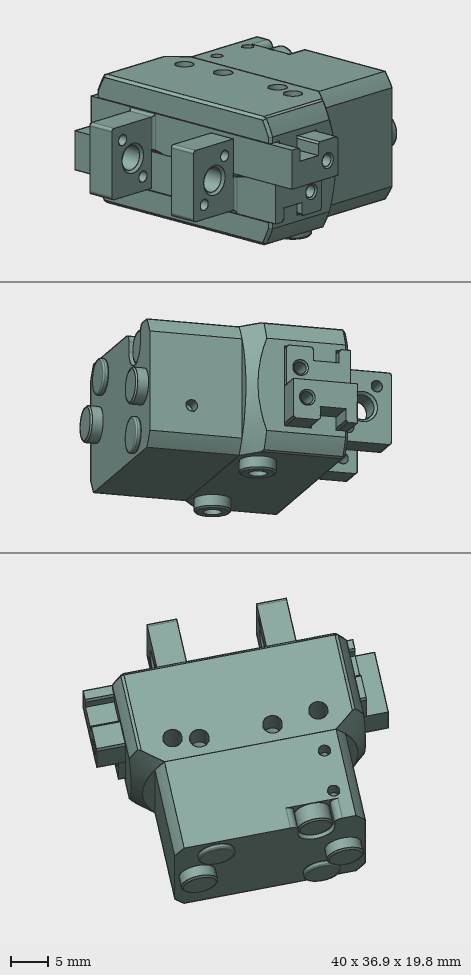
import cadquery as cq
import math


front_half_width = 16.1
front_half_height = 9.0
rear_half_width = 13.1
rear_half_height = 8.95
step_y = 14.05
rear_y = 27.05
front_turned_radius = 17.3
rear_turned_radius = 14.8
front_chamfer = 0.4
top_bevel_width = 1.6
top_bevel_drop = 0.7

slide_short_end = 17.0
slide_long_end = 20.0
slide_depth = 9.0
slide_height = 5.5
notch_front_y = 1.6
notch_back_y = 5.2
notch_floor_z = 3.6
slide_chamfer = 0.3
guide_clearance = 0.1
rib_clearance = 0.1
end_hole_y = 7.05
end_hole_z = 2.5
end_hole_diameter = 1.7
end_hole_rim = 2.2
end_hole_depth = 4.0

finger_inner_x = 5.5
finger_width = 4.1
finger_half_height = 5.0
finger_tip_y = -8.15
finger_gap = 0.35
finger_tip_radius = 0.4
relief_radius = 14.8
relief_height = 0.5
relief_depth = 0.4
grip_hole_y = -4.1
grip_hole_diameter = 3.45
grip_hole_rim = 4.2
dowel_hole_diameter = 1.55
dowel_offset_y = 2.0
dowel_offset_z = 3.0

sleeve_spacing = 20.0
sleeve_diameter = 5.0
sleeve_height = 1.75
sleeve_chamfer = 0.25
bottom_sleeve_y = 10.85
mount_hole_diameter = 2.55

button_places = [(-7.0, -6.0), (7.45, 6.0)]
button_height = 0.8
button_radius = 0.25
plug_x = -6.35
plug_z = 6.5
plug_diameter = 4.8
plug_length = 2.55
recess_width = 5.05
recess_depth = 3.0
recess_lip_radius = 1.05

drill_tip_angle = 118.0
top_hole_places = [(-3.55, 11.6), (6.5, 11.6)]
top_hole_diameter = 2.6
top_hole_depth = 4.0
screw_hole_diameter = 1.6
screw_hole_depth = 2.4
screw_hole_x = -9.6
screw_hole_y_places = [16.8, 22.85]
side_hole_y = 21.1
side_hole_z = -2.95


def block(x_range, y_range, z_range):
    """Box between two limits along each axis."""
    sizes = [high - low for low, high in (x_range, y_range, z_range)]
    return cq.Workplane("XY").box(*sizes, centered=False).translate((x_range[0], y_range[0], z_range[0]))


def rod(start, direction, diameter, length):
    """Round bar that leaves the start point in the given direction."""
    return cq.Workplane(cq.Plane(start, normal=direction)).circle(diameter / 2).extrude(length)


def drill(start, direction, diameter, depth):
    """Blind hole with a conical bottom."""
    radius = diameter / 2
    tip = radius / math.tan(math.radians(drill_tip_angle / 2))
    outline = [(0, 0), (radius, 0), (radius, depth), (0, depth + tip)]
    side = (0, 0, 1) if direction[2] == 0 else (1, 0, 0)
    across = cq.Vector(*side)
    plane = cq.Plane(start, xDir=side, normal=across.cross(cq.Vector(*direction)))
    return cq.Workplane(plane).polyline(outline).close().revolve(360, (0, 0), (0, 1))


def countersink(start, direction, rim_diameter, hole_diameter):
    """45 degree cone that opens a hole at its rim."""
    rim_radius = rim_diameter / 2
    hole_radius = hole_diameter / 2
    cone = cq.Solid.makeCone(
        rim_radius, hole_radius, rim_radius - hole_radius, cq.Vector(*start), cq.Vector(*direction)
    )
    return cq.Workplane(cone)


def housing_envelope():
    """Wide front block and narrower rear block, with their corners turned about Y."""
    bevel_x = front_half_width - top_bevel_width
    bevel_z = front_half_height - top_bevel_drop
    front_outline = [
        (front_half_width, -bevel_z),
        (front_half_width, bevel_z),
        (bevel_x, front_half_height),
        (-bevel_x, front_half_height),
        (-front_half_width, bevel_z),
        (-front_half_width, -bevel_z),
        (-bevel_x, -front_half_height),
        (bevel_x, -front_half_height),
    ]
    front = cq.Workplane("XZ").polyline(front_outline).close().extrude(-step_y)
    rear = block(
        (-rear_half_width, rear_half_width), (0, rear_y), (-rear_half_height, rear_half_height)
    )
    cone_length = front_turned_radius - rear_turned_radius
    turned_outline = [
        (0, 0),
        (front_turned_radius, 0),
        (front_turned_radius, step_y - cone_length),
        (rear_turned_radius, step_y),
        (rear_turned_radius, rear_y),
        (0, rear_y),
    ]
    turned = cq.Workplane("XY").polyline(turned_outline).close().revolve(360, (0, 0), (0, 1))
    envelope = front.union(rear).intersect(turned)
    return envelope.faces("<Y").edges().chamfer(front_chamfer)


def slide_channel():
    """Through channel for both slides; a guide rib stands in the notch of each slide."""
    whole_width = (-slide_long_end, slide_long_end)
    channel_height = slide_height + guide_clearance
    channel = block(whole_width, (0, slide_depth), (-channel_height, channel_height))
    rib_y = (notch_front_y + rib_clearance, notch_back_y)
    rib_z = (notch_floor_z + rib_clearance, channel_height)
    upper_rib = block(whole_width, rib_y, rib_z)
    lower_rib = upper_rib.mirror("XY")
    return channel.cut(upper_rib).cut(lower_rib)


def sleeve(start, direction):
    """Centring sleeve with a chamfered end."""
    bar = rod(start, direction, sleeve_diameter, sleeve_height)
    end = cq.Vector(*start) + cq.Vector(*direction) * sleeve_height
    return bar.edges(cq.selectors.NearestToPointSelector(end.toTuple())).chamfer(sleeve_chamfer)


def plug_recess():
    """Open-topped recess in the rear face, with a rounded lip on both long sides."""
    front_y = rear_y - recess_depth
    half_width = recess_width / 2
    lip_half_width = half_width + recess_lip_radius
    lip_z = rear_half_height - recess_lip_radius
    lip_bend = recess_lip_radius * (1 - math.sqrt(0.5))
    return (
        cq.Workplane("XZ", origin=(plug_x, front_y, 0))
        .moveTo(-half_width, plug_z)
        .lineTo(-half_width, lip_z)
        .threePointArc(
            (-half_width - lip_bend, rear_half_height - lip_bend), (-lip_half_width, rear_half_height)
        )
        .lineTo(lip_half_width, rear_half_height)
        .threePointArc(
            (half_width + lip_bend, rear_half_height - lip_bend), (half_width, lip_z)
        )
        .lineTo(half_width, plug_z)
        .threePointArc((0, plug_z - half_width), (-half_width, plug_z))
        .close()
        .extrude(-recess_depth)
    )


def make_housing():
    housing = housing_envelope().cut(slide_channel())

    plug = rod((plug_x, rear_y - recess_depth, plug_z), (0, 1, 0), plug_diameter, plug_length)
    housing = housing.cut(plug_recess()).union(plug.faces(">Y").chamfer(sleeve_chamfer))

    for x, z in button_places:
        button = rod((x, rear_y, z), (0, 1, 0), sleeve_diameter, button_height)
        housing = housing.union(button.faces("|Y").edges().fillet(button_radius))

    for x in (-sleeve_spacing / 2, sleeve_spacing / 2):
        housing = housing.union(sleeve((x, rear_y, 0), (0, 1, 0)))
        housing = housing.union(sleeve((x, bottom_sleeve_y, -front_half_height), (0, 0, -1)))
        through = 2 * front_half_height + sleeve_height
        housing = housing.cut(
            rod((x, bottom_sleeve_y, front_half_height), (0, 0, -1), mount_hole_diameter, through)
        )

    for x, y in top_hole_places:
        housing = housing.cut(
            drill((x, y, front_half_height), (0, 0, -1), top_hole_diameter, top_hole_depth)
        )
    for y in screw_hole_y_places:
        housing = housing.cut(
            drill((screw_hole_x, y, rear_half_height), (0, 0, -1), screw_hole_diameter, screw_hole_depth)
        )
    return housing.cut(
        drill((-rear_half_width, side_hole_y, side_hole_z), (1, 0, 0), screw_hole_diameter, screw_hole_depth)
    )


def jaw_slide():
    """Upper slide, notched along its top for the guide rib."""
    c = slide_chamfer
    outline = [
        (0, 0),
        (0, slide_height),
        (notch_front_y - c, slide_height),
        (notch_front_y, slide_height - c),
        (notch_front_y, notch_floor_z),
        (notch_back_y, notch_floor_z),
        (notch_back_y, slide_height - c),
        (notch_back_y + c, slide_height),
        (slide_depth - c, slide_height),
        (slide_depth, slide_height - c),
        (slide_depth, 0),
    ]
    length = slide_short_end + slide_long_end
    slide = cq.Workplane("YZ", origin=(-slide_short_end, 0, 0)).polyline(outline).close().extrude(length)
    for x, inward in ((-slide_short_end, 1), (slide_long_end, -1)):
        start = (x, end_hole_y, end_hole_z)
        slide = slide.cut(drill(start, (inward, 0, 0), end_hole_diameter, end_hole_depth))
        slide = slide.cut(countersink(start, (inward, 0, 0), end_hole_rim, end_hole_diameter))
    return slide


def jaw_finger():
    """Finger plate with its cross hole, countersunk on both sides, and two dowel holes."""
    x_range = (-finger_inner_x - finger_width, -finger_inner_x)
    finger = block(x_range, (finger_tip_y, -finger_gap), (-finger_half_height, finger_half_height))
    finger = finger.faces("<Y").edges("|X").fillet(finger_tip_radius)
    finger = finger.cut(rod((x_range[0], grip_hole_y, 0), (1, 0, 0), grip_hole_diameter, finger_width))
    for x, inward in ((x_range[0], 1), (x_range[1], -1)):
        rim = countersink((x, grip_hole_y, 0), (inward, 0, 0), grip_hole_rim, grip_hole_diameter)
        finger = finger.cut(rim)
    for side in (-1, 1):
        start = (x_range[0], grip_hole_y - side * dowel_offset_y, side * dowel_offset_z)
        finger = finger.cut(rod(start, (1, 0, 0), dowel_hole_diameter, finger_width))
    return finger


def finger_neck():
    """Short neck that flares into the slide, wider by a quarter-round on three sides."""
    half_width = finger_width / 2
    flare = finger_gap
    neck_x = -finger_inner_x - half_width
    root = block(
        (neck_x - half_width - flare, neck_x + half_width + flare),
        (-flare, 0),
        (0, finger_half_height + flare),
    )
    for side in (-1, 1):
        x = neck_x + side * (half_width + flare)
        root = root.cut(rod((x, -flare, 0), (0, 0, 1), 2 * flare, finger_half_height + 2 * flare))
    top_start = (neck_x - half_width - flare, -flare, finger_half_height + flare)
    return root.cut(rod(top_start, (1, 0, 0), 2 * flare, finger_width + 2 * flare))


def make_jaw(turn):
    """Upper jaw, turned about Y; half a turn gives the lower jaw."""
    relief_x = -finger_inner_x - finger_width / 2
    relief = rod(
        (relief_x, -finger_gap, relief_height - relief_radius),
        (0, 1, 0),
        2 * relief_radius,
        finger_gap + relief_depth,
    )
    jaw = jaw_slide().union(finger_neck()).cut(relief).union(jaw_finger())
    return jaw.rotate((0, 0, 0), (0, 1, 0), turn)


housing = make_housing()
jaws = [make_jaw(turn) for turn in (0, 180)]

result = cq.Compound.makeCompound([housing.solids().val(), *[jaw.solids().val() for jaw in jaws]])